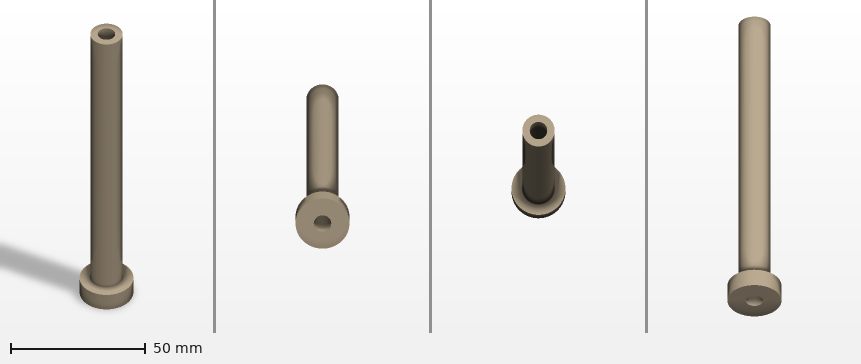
import cadquery as cq

total_length = 125.0
head_diameter = 20.0
head_height = 7.0
tube_diameter = 12.0
bore_diameter = 6.5
neck_fillet_radius = 0.5


def make_blank():
    """Stepped solid of revolution with a fillet where the tube meets the head."""
    head_radius = head_diameter / 2
    tube_radius = tube_diameter / 2
    half_section = (
        cq.Workplane("XZ")
        .lineTo(-head_radius, 0)
        .lineTo(-head_radius, head_height)
        .lineTo(-(tube_radius + neck_fillet_radius), head_height)
        .radiusArc((-tube_radius, head_height + neck_fillet_radius), -neck_fillet_radius)
        .lineTo(-tube_radius, total_length)
        .lineTo(0, total_length)
        .close()
    )
    return half_section.revolve(360, (0, 0), (0, 1))


def make_bore():
    return cq.Workplane("XY").circle(bore_diameter / 2).extrude(total_length)


result = make_blank().cut(make_bore())